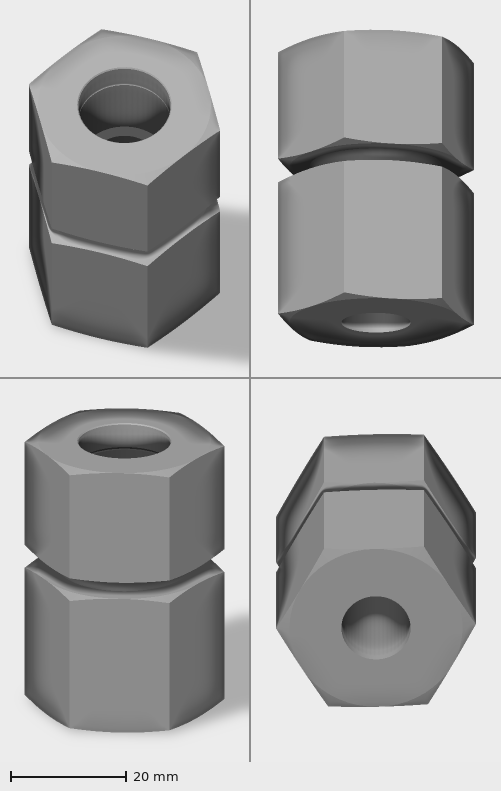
import cadquery as cq
import math

across_flats = 30.0
hex_chamfer_angle = 15.0

body_hex_height = 25.0
neck_gap = 3.0
nut_height = 20.5
nut_bottom = body_hex_height + neck_gap
nut_top = nut_bottom + nut_height

thread_diameter = 24.0
stub_top = 40.0
groove_diameter = 21.7
groove_width = 3.3
groove_end_height = 1.0
groove_end_radius = 1.1

passage_diameter = 12.0
tube_diameter = 16.0
tube_socket_depth = 8.5
ring_seat_diameter = 18.2
ring_seat_depth = 5.0

lip_height = 4.4
lip_chamfer = 0.2
lip_bottom = nut_top - lip_height

ring_diameter = 21.0
ring_lip_gap = 0.5
ring_top = lip_bottom - ring_lip_gap
ring_top_diameter = tube_diameter + 2 * ring_lip_gap
ring_shoulder = ring_top - (ring_diameter - ring_top_diameter) / 2


def cylinder(diameter, bottom, top):
    """Upright cylinder on the Z axis between two heights."""
    return cq.Workplane("XY").workplane(offset=bottom).circle(diameter / 2).extrude(top - bottom)


def cone(bottom_diameter, top_diameter, bottom, top):
    """Upright cone frustum on the Z axis between two heights."""
    return (
        cq.Workplane("XY")
        .workplane(offset=bottom)
        .circle(bottom_diameter / 2)
        .workplane(offset=top - bottom)
        .circle(top_diameter / 2)
        .loft(ruled=True)
    )


def chamfered_hexagon(bottom, height):
    """Hexagonal prism with its corners turned off conically at both ends."""
    corner_diameter = across_flats / math.cos(math.radians(30))
    corner_radius = corner_diameter / 2
    face_radius = across_flats / 2
    drop = (corner_radius - face_radius) * math.tan(math.radians(hex_chamfer_angle))
    prism = (
        cq.Workplane("XY")
        .polygon(6, corner_diameter)
        .extrude(height)
        .rotate((0, 0, 0), (0, 0, 1), 30)
    )
    turned_envelope = (
        cq.Workplane("XZ")
        .moveTo(0, 0)
        .lineTo(face_radius, 0)
        .lineTo(corner_radius, drop)
        .lineTo(corner_radius, height - drop)
        .lineTo(face_radius, height)
        .lineTo(0, height)
        .close()
        .revolve(360, (0, 0, 0), (0, 1, 0))
    )
    return prism.intersect(turned_envelope).translate((0, 0, bottom))


def undercut_groove():
    """Ring-shaped cutter for the groove below the thread, its floor curving outward at both ends."""
    floor_radius = groove_diameter / 2
    cutter_radius = thread_diameter / 2
    bottom = body_hex_height
    top = bottom + groove_width
    sweep = math.asin(groove_end_height / groove_end_radius)

    def flare(angle):
        return floor_radius + groove_end_radius * (1 - math.cos(angle))

    end_radius = flare(sweep)
    middle_radius = flare(sweep / 2)
    middle_height = groove_end_height - groove_end_radius * math.sin(sweep / 2)
    return (
        cq.Workplane("XZ")
        .moveTo(cutter_radius, bottom)
        .lineTo(end_radius, bottom)
        .threePointArc((middle_radius, bottom + middle_height), (floor_radius, bottom + groove_end_height))
        .lineTo(floor_radius, top - groove_end_height)
        .threePointArc((middle_radius, top - middle_height), (end_radius, top))
        .lineTo(cutter_radius, top)
        .close()
        .revolve(360, (0, 0, 0), (0, 1, 0))
    )


def fitting_body():
    """Lower hexagon with its stub, tube socket and through passage."""
    stub = cylinder(thread_diameter, body_hex_height, stub_top)
    return (
        chamfered_hexagon(0, body_hex_height)
        .union(stub)
        .cut(undercut_groove())
        .cut(cylinder(passage_diameter, 0, stub_top))
        .cut(cylinder(tube_diameter, stub_top - tube_socket_depth, stub_top))
        .cut(cylinder(ring_seat_diameter, stub_top - ring_seat_depth, stub_top))
    )


def clamping_ring():
    """Bevelled ring on top of the stub, with a nose in the stub's ring seat."""
    nose_bottom = stub_top - ring_seat_depth
    return (
        cylinder(ring_seat_diameter, nose_bottom, stub_top)
        .union(cylinder(ring_diameter, stub_top, ring_shoulder))
        .union(cone(ring_diameter, ring_top_diameter, ring_shoulder, ring_top))
        .cut(cylinder(tube_diameter, nose_bottom, ring_top))
    )


def union_nut():
    """Upper hexagon, bored for the stub, the ring and the tube."""
    mouth_diameter = tube_diameter + 2 * lip_chamfer
    return (
        chamfered_hexagon(nut_bottom, nut_height)
        .cut(cylinder(thread_diameter, nut_bottom, stub_top))
        .cut(cylinder(ring_diameter, stub_top, ring_shoulder))
        .cut(cone(ring_diameter, tube_diameter, ring_shoulder, lip_bottom))
        .cut(cylinder(tube_diameter, lip_bottom, nut_top))
        .cut(cone(tube_diameter, mouth_diameter, nut_top - lip_chamfer, nut_top))
    )


body = fitting_body()
ring = clamping_ring()
nut = union_nut()

result = cq.Compound.makeCompound([body.val(), ring.val(), nut.val()])